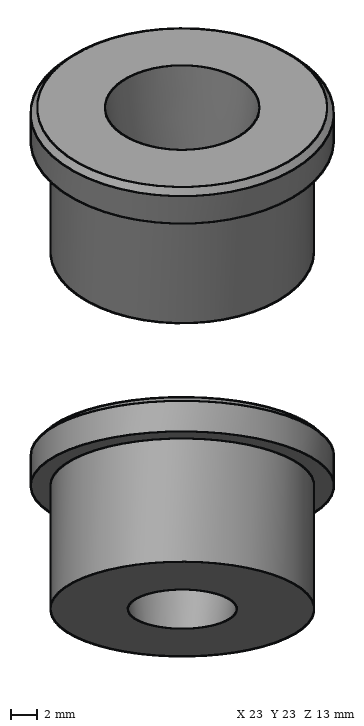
import cadquery as cq

flange_diameter = 23.0
body_diameter = 20.0
total_height = 13.0
flange_thickness = 3.0
flange_chamfer = 0.5
bore_bottom_diameter = 8.25
bore_top_diameter = 11.7

flange_bottom = total_height - flange_thickness

body = cq.Workplane("XY").circle(body_diameter / 2).extrude(flange_bottom)
flange = (
    cq.Workplane("XY", origin=(0, 0, flange_bottom))
    .circle(flange_diameter / 2)
    .extrude(flange_thickness)
    .faces(">Z")
    .chamfer(flange_chamfer)
)

bore = (
    cq.Workplane("XY")
    .circle(bore_bottom_diameter / 2)
    .workplane(offset=total_height)
    .circle(bore_top_diameter / 2)
    .loft(ruled=True)
)

result = body.union(flange).cut(bore)